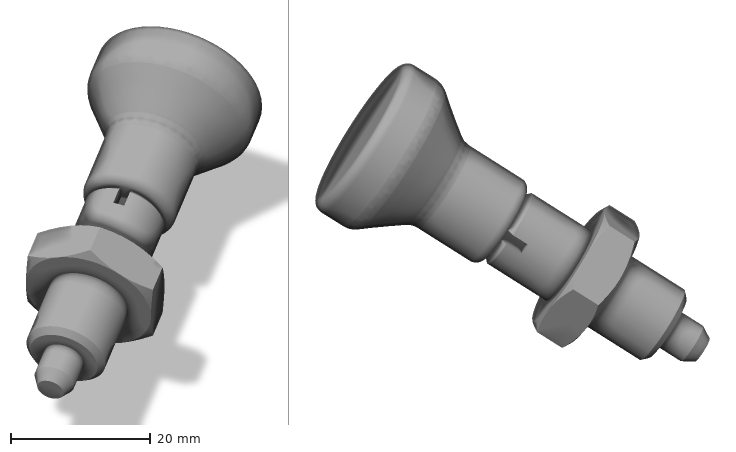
import cadquery as cq
import math

total_length = 59.0

pin_diameter = 6.0
pin_projection = 6.0
pin_taper_length = 1.75
pin_taper_angle = math.radians(30)

body_diameter = 12.0
body_chamfer = 0.9
slot_width = 1.65
slot_end_y = 30.5

nut_start_y = 17.0
nut_thickness = 6.0
nut_across_flats = 19.0
nut_chamfer_angle = math.radians(30)

knob_start_y = 34.0
neck_diameter = 14.0
rim_diameter = 25.0
cone_start_y = 45.5
cone_end_y = 52.75
knob_edge_radius = 1.5
cone_blend_radius = 3.0


def revolve_about_y(points):
    """Revolve a closed (radius, y) outline about the Y axis."""
    return cq.Workplane("XY").polyline(points).close().revolve(360, (0, 0), (0, 1))


def make_pin():
    """Tapered pin running through the sleeve to the knob, visible in the slot."""
    radius = pin_diameter / 2
    tip_radius = radius - pin_taper_length * math.tan(pin_taper_angle)
    return revolve_about_y([
        (0, 0),
        (tip_radius, 0),
        (radius, pin_taper_length),
        (radius, knob_start_y),
        (0, knob_start_y),
    ])


def make_body():
    """Sleeve chamfered at both ends, with a slot right across its knob end."""
    radius = body_diameter / 2
    end_radius = radius - body_chamfer
    sleeve = revolve_about_y([
        (0, pin_projection),
        (end_radius, pin_projection),
        (radius, pin_projection + body_chamfer),
        (radius, knob_start_y - body_chamfer),
        (end_radius, knob_start_y),
        (0, knob_start_y),
    ])
    slot_length = knob_start_y - slot_end_y
    slot = (
        cq.Workplane("XY")
        .box(slot_width, slot_length, body_diameter)
        .translate((0, slot_end_y + slot_length / 2, 0))
    )
    return sleeve.cut(slot)


def make_nut():
    """Hexagon with flats facing +X and -X, its corners turned off conically."""
    flat_radius = nut_across_flats / 2
    corner_radius = flat_radius / math.cos(math.pi / 6)
    chamfer_depth = (corner_radius - flat_radius) * math.tan(nut_chamfer_angle)
    nut_end_y = nut_start_y + nut_thickness
    hexagon = (
        cq.Workplane("XZ", origin=(0, nut_start_y, 0))
        .transformed(rotate=(0, 0, 90))
        .polygon(6, 2 * corner_radius)
        .extrude(-nut_thickness)
    )
    envelope = revolve_about_y([
        (0, nut_start_y),
        (flat_radius, nut_start_y),
        (corner_radius, nut_start_y + chamfer_depth),
        (corner_radius, nut_end_y - chamfer_depth),
        (flat_radius, nut_end_y),
        (0, nut_end_y),
    ])
    return hexagon.intersect(envelope)


def make_knob():
    """Straight neck widening through a cone to the rim, all edges rounded."""
    neck_radius = neck_diameter / 2
    rim_radius = rim_diameter / 2
    knob = revolve_about_y([
        (0, knob_start_y),
        (neck_radius, knob_start_y),
        (neck_radius, cone_start_y),
        (rim_radius, cone_end_y),
        (rim_radius, total_length),
        (0, total_length),
    ])
    end_edges = knob.faces("<Y or >Y").edges("%CIRCLE")
    knob = end_edges.fillet(knob_edge_radius)
    cone_edges = knob.faces("%CONE").edges("%CIRCLE")
    return cone_edges.fillet(cone_blend_radius)


result = make_pin().union(make_body()).union(make_nut()).union(make_knob())